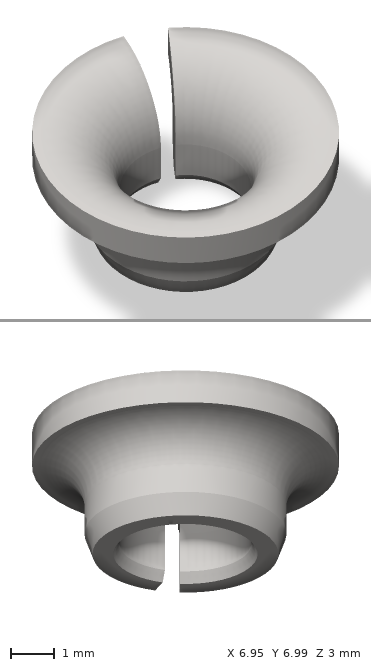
import cadquery as cq
import math

flange_radius = 3.495
total_height = 3.0
flange_thickness = 0.8
body_radius = 2.3
fillet_radius = 1.0
tip_height = 0.5
tip_angle = 20.0
bore_flare_height = 0.25
bore_flare_width = 0.14
slot_angle = 20.0
slot_apex_x = -0.49

flare_radius = fillet_radius + flange_thickness
flare_center_r = body_radius + fillet_radius
bore_radius = flare_center_r - flare_radius
flare_center_z = total_height - flare_radius
flange_bottom = total_height - flange_thickness
tip_radius = body_radius - tip_height * math.tan(math.radians(tip_angle))


def flare_midpoint(radius):
    """Middle of the quarter arc of the given radius about the flare centre."""
    offset = radius * math.sqrt(0.5)
    return (flare_center_r - offset, flare_center_z + offset)


def bushing():
    """Flared body of revolution about Z, with its tip on z = 0."""
    profile = (
        cq.Workplane("XZ")
        .moveTo(bore_radius, bore_flare_height)
        .lineTo(bore_radius + bore_flare_width, 0)
        .lineTo(tip_radius, 0)
        .lineTo(body_radius, tip_height)
        .lineTo(body_radius, flare_center_z)
        .threePointArc(flare_midpoint(fillet_radius), (flare_center_r, flange_bottom))
        .lineTo(flange_radius, flange_bottom)
        .lineTo(flange_radius, total_height)
        .lineTo(flare_center_r, total_height)
        .threePointArc(flare_midpoint(flare_radius), (bore_radius, flare_center_z))
        .close()
    )
    solid = profile.revolve(360, (0, 0, 0), (0, 1, 0))
    return solid.rotate((0, 0, 0), (0, 0, 1), 180)


def wedge_slot():
    """Full-height wedge that opens the ring toward -X."""
    length = 2 * flange_radius
    half_width = length * math.tan(math.radians(slot_angle / 2))
    return (
        cq.Workplane("XY")
        .moveTo(slot_apex_x, 0)
        .lineTo(slot_apex_x - length, half_width)
        .lineTo(slot_apex_x - length, -half_width)
        .close()
        .extrude(total_height)
    )


result = bushing().cut(wedge_slot())